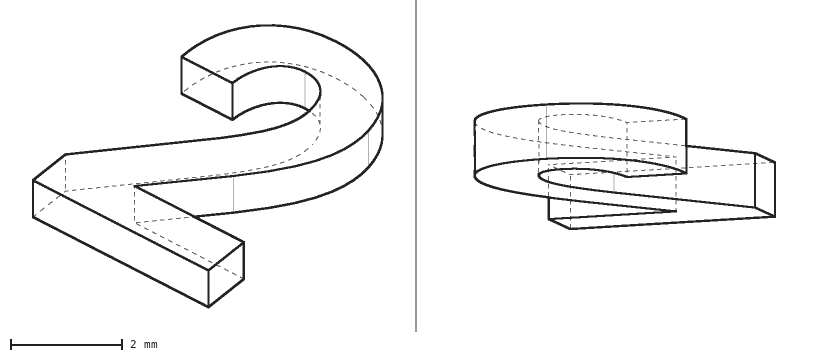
import cadquery as cq

width = 4.29
height = 5.8
thickness = 1.0

foot_length = 3.81
foot_height = 0.915
foot_right_top = (3.955, foot_height)
foot_left_top = (0.135, 0.84)
inner_corner = (1.585, foot_height)

hook_end_height = 3.93
hook_outer = (0.535, hook_end_height)
hook_inner = (1.64, hook_end_height)

bowl_inner_height = 4.89
bowl_inner_x = 3.155
outer_right = (width, 4.37)
outer_top = (2.61, height)
inner_top = (2.56, bowl_inner_height)
inner_right = (bowl_inner_x, 4.265)

outer_bend = (2.905, 2.11)
inner_bend = (2.215, 2.745)

outer_stroke_handles = [(3.74, 2.89), (width, 3.565)]
outer_bowl_handles = [(width, 5.25), (3.625, height)]
outer_hook_handles = [(1.495, height), (0.65, 5.045)]
inner_hook_handles = [(1.71, 4.41), (2.06, bowl_inner_height)]
inner_bowl_handles = [(2.93, bowl_inner_height), (bowl_inner_x, 4.67)]
inner_stroke_handles = [(bowl_inner_x, 3.685), (2.695, 3.22)]


def add_curve(outline, handles, end):
    """Add a cubic Bezier from the current point to the end point."""
    return outline.bezier([*handles, end], includeCurrent=True)


outline = cq.Workplane("XY").lineTo(foot_length, 0).lineTo(*foot_right_top)
outline = outline.lineTo(*inner_corner).lineTo(*outer_bend)
outline = add_curve(outline, outer_stroke_handles, outer_right)
outline = add_curve(outline, outer_bowl_handles, outer_top)
outline = add_curve(outline, outer_hook_handles, hook_outer)

outline = outline.lineTo(*hook_inner)
outline = add_curve(outline, inner_hook_handles, inner_top)
outline = add_curve(outline, inner_bowl_handles, inner_right)
outline = add_curve(outline, inner_stroke_handles, inner_bend)
outline = outline.lineTo(*foot_left_top).close()

result = outline.extrude(thickness)